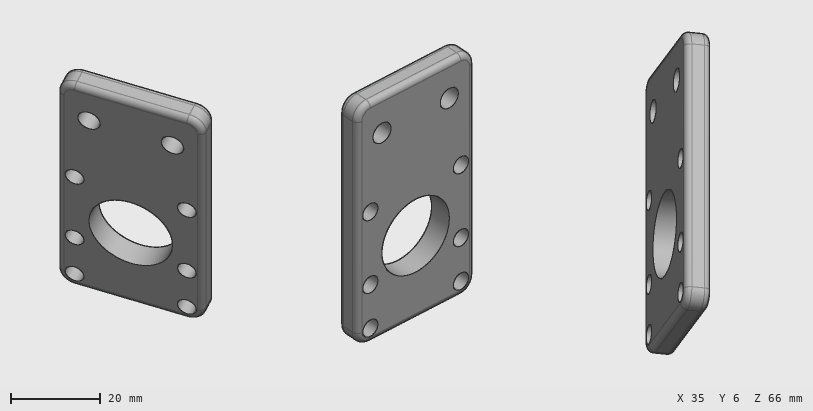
import cadquery as cq

width = 35.0
thickness = 6.0
height = 66.0
corner_radius = 4.0
edge_radius = 1.5

bore_diameter = 20.0
bore_height = 23.0

top_hole_diameter = 5.35
top_hole_spacing = 20.0
top_hole_height = 56.0

side_hole_diameter = 4.5
side_hole_spacing = width - 2 * corner_radius
side_hole_heights = [corner_radius, 16.0, 36.0]


def rounded_plate():
    """Plate with round corners and rounded rims, its bottom edge at Z = 0."""
    plate = cq.Workplane("XY").box(width, thickness, height, centered=(True, True, False))
    return plate.edges("|Y").fillet(corner_radius).faces("<Y or >Y").edges().fillet(edge_radius)


def through_holes(points, diameter):
    """Cylinders along Y that cut right through the plate at (x, z) points."""
    sketch = cq.Workplane("XZ", origin=(0, thickness / 2, 0)).pushPoints(points).circle(diameter / 2)
    return sketch.extrude(thickness)


def mirrored_pair(spacing, z):
    return [(-spacing / 2, z), (spacing / 2, z)]


result = rounded_plate()
result = result.cut(through_holes([(0, bore_height)], bore_diameter))
result = result.cut(through_holes(mirrored_pair(top_hole_spacing, top_hole_height), top_hole_diameter))
for hole_height in side_hole_heights:
    side_pair = mirrored_pair(side_hole_spacing, hole_height)
    result = result.cut(through_holes(side_pair, side_hole_diameter))